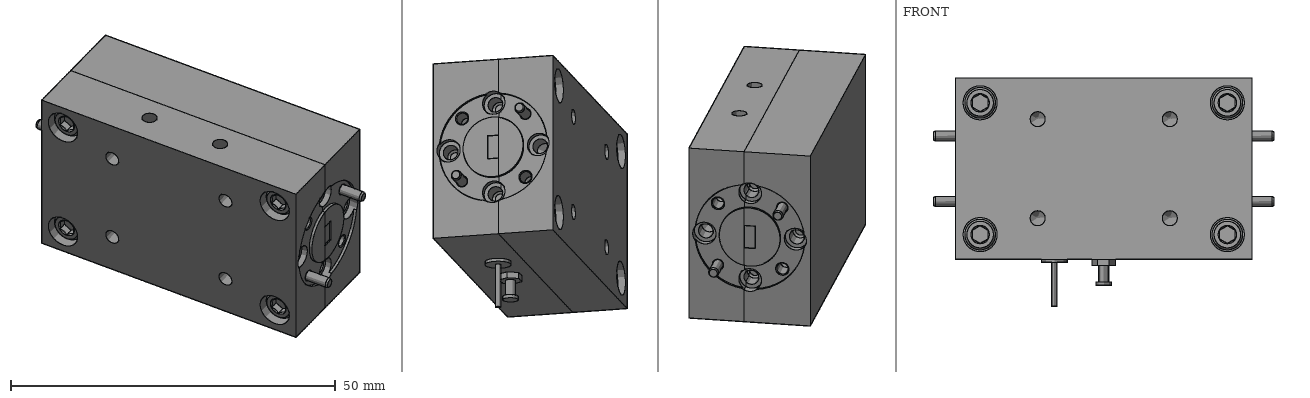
import cadquery as cq
import math


OVERALL_LENGTH = 52.45
BLOCK_LENGTH = 45.75
BLOCK_DEPTH = 19.05
BLOCK_HEIGHT = 27.95
FRONT_DEPTH = 8.65
END_X = BLOCK_LENGTH / 2
FRONT_Y = -BLOCK_DEPTH / 2
SEAM_Y = FRONT_Y + FRONT_DEPTH
TOP_Z = BLOCK_HEIGHT / 2

TAPPED_RADIUS = 1.15
TAPPED_DEPTH = 5.25
DRILL_POINT_ANGLE = 118

FACE_HOLE_INSET_X = 12.7
FACE_HOLE_INSET_Z = 6.35
TOP_HOLE_SPACING = 12.7
TOP_HOLE_INSET = 4.75

SCREW_INSET = 3.85
COUNTERBORE_RADIUS = 2.6
COUNTERBORE_DEPTH = 3.9
HEAD_RADIUS = 2.35
HEAD_HEIGHT = 2.85
HEAD_CHAMFER = 0.3
HEX_SOCKET_WIDTH = 2.35
HEX_SOCKET_DEPTH = 1.35
SOCKET_MOUTH_RADIUS = 1.4
SOCKET_MOUTH_DEPTH = 0.2

RING_OUTER_RADIUS = 8.6
RING_INNER_RADIUS = 4.75
RING_DEPTH = 0.45
GUIDE_WIDTH = 1.75
GUIDE_HEIGHT = 3.65
GUIDE_DEPTH = 0.2
BOLT_CIRCLE_RADIUS = 7.15
SPOTFACE_RADIUS = 1.8
SPOTFACE_DEPTH = 1.45
BOLT_HOLE_DEPTH = 4.2
BOLT_TIP_RADIUS = 0.8
DOWEL_HOLE_RADIUS = 0.9
DOWEL_HOLE_CHAMFER = 0.15
DOWEL_HOLE_DEPTH = 3.15
DOWEL_RADIUS = 0.8
DOWEL_LENGTH = (OVERALL_LENGTH - BLOCK_LENGTH) / 2
DOWEL_CHAMFER_LENGTH = 0.3
DOWEL_CHAMFER_WIDTH = 0.15
DOWEL_SEAT_CHAMFER = 0.1

TERMINAL_Y = 3.15
FEEDTHROUGH_X = -7.6
COLLAR_RADIUS = 2.0
COLLAR_THICKNESS = 0.45
LEAD_RADIUS = 0.4
LEAD_LENGTH = 7.25
NUT_CORNER_RADIUS = 1.85
NUT_THICKNESS = 0.95
NUT_TURN = -3
POST_RADIUS = 0.8
POST_LENGTH = 4.0
POST_CAP_RADIUS = 1.2
POST_CAP_THICKNESS = 0.5


def mirrored_places(x, y):
    return [(sx * x, sy * y) for sx in (-1, 1) for sy in (-1, 1)]


def rod(start, direction, radius, length):
    return cq.Workplane(cq.Solid.makeCylinder(radius, length, cq.Vector(*start), cq.Vector(*direction)))


def drilled_hole(start, direction, radius, depth, tip_radius=0):
    """Cylinder of the given depth plus a drill-point cone, cut flat at tip_radius."""
    origin = cq.Vector(*start)
    axis = cq.Vector(*direction)
    cone_length = (radius - tip_radius) / math.tan(math.radians(DRILL_POINT_ANGLE / 2))
    bore = cq.Solid.makeCylinder(radius, depth, origin, axis)
    point = cq.Solid.makeCone(radius, tip_radius, cone_length, origin + axis * depth, axis)
    return cq.Workplane(bore.fuse(point))


def mouth_chamfer(start, direction, hole_radius, chamfer):
    """45-degree cone that narrows from the mouth of a hole down to the hole radius."""
    origin = cq.Vector(*start)
    axis = cq.Vector(*direction)
    return cq.Workplane(cq.Solid.makeCone(hole_radius + chamfer, hole_radius, chamfer, origin, axis))


def block(y_start, depth):
    return (
        cq.Workplane("XY")
        .box(BLOCK_LENGTH, depth, BLOCK_HEIGHT, centered=(True, False, True))
        .translate((0, y_start, 0))
    )


def dowel_places(side):
    """The two diagonal places that hold dowels; -side gives the two open holes."""
    offset = BOLT_CIRCLE_RADIUS * math.sqrt(0.5)
    return [(-offset, -side * offset), (offset, side * offset)]


def flange_recess(side):
    """Material removed from the end face at X = side * END_X."""
    inward = (-side, 0, 0)
    centre = (side * END_X, 0, 0)
    recess = rod(centre, inward, RING_OUTER_RADIUS, RING_DEPTH)
    recess = recess.cut(rod(centre, inward, RING_INNER_RADIUS, RING_DEPTH))

    guide = cq.Workplane("XY").box(2 * GUIDE_DEPTH, GUIDE_WIDTH, GUIDE_HEIGHT)
    recess = recess.union(guide.translate((side * END_X, SEAM_Y + GUIDE_WIDTH / 2, 0)))

    for quarter in range(4):
        angle = math.radians(90 * quarter)
        place = (side * END_X, BOLT_CIRCLE_RADIUS * math.cos(angle), BOLT_CIRCLE_RADIUS * math.sin(angle))
        pointed = quarter == 2
        tip_radius = 0 if pointed else BOLT_TIP_RADIUS
        recess = recess.union(rod(place, inward, SPOTFACE_RADIUS, SPOTFACE_DEPTH))
        recess = recess.union(drilled_hole(place, inward, TAPPED_RADIUS, BOLT_HOLE_DEPTH, tip_radius))

    for y, z in dowel_places(-side):
        place = (side * (END_X - RING_DEPTH), y, z)
        recess = recess.union(drilled_hole(place, inward, DOWEL_HOLE_RADIUS, DOWEL_HOLE_DEPTH))
        recess = recess.union(mouth_chamfer(place, inward, DOWEL_HOLE_RADIUS, DOWEL_HOLE_CHAMFER))

    for y, z in dowel_places(side):
        place = (side * (END_X - RING_DEPTH), y, z)
        recess = recess.union(mouth_chamfer(place, inward, DOWEL_RADIUS, DOWEL_SEAT_CHAMFER))
    return recess


def dowel(side, y, z):
    """Chamfered locating dowel, rooted at the bottom of its seat in the flange ring."""
    outward = (side, 0, 0)
    root_depth = RING_DEPTH + DOWEL_SEAT_CHAMFER
    root = (side * (END_X - root_depth), y, z)
    shank_length = root_depth + DOWEL_LENGTH - DOWEL_CHAMFER_LENGTH
    shank = rod(root, outward, DOWEL_RADIUS, shank_length)
    tip_start = cq.Vector(side * (END_X + DOWEL_LENGTH - DOWEL_CHAMFER_LENGTH), y, z)
    tip = cq.Solid.makeCone(
        DOWEL_RADIUS, DOWEL_RADIUS - DOWEL_CHAMFER_WIDTH, DOWEL_CHAMFER_LENGTH, tip_start, cq.Vector(*outward)
    )
    return shank.union(cq.Workplane(tip))


def screw_head(x, z):
    """Socket head standing on the floor of its counterbore."""
    head = cq.Workplane("XY").circle(HEAD_RADIUS).extrude(HEAD_HEIGHT)
    head = head.faces(">Z").chamfer(HEAD_CHAMFER)
    socket_diameter = HEX_SOCKET_WIDTH / math.cos(math.radians(30))
    head = (
        head.faces(">Z")
        .workplane()
        .transformed(rotate=(0, 0, 90))
        .polygon(6, socket_diameter)
        .cutBlind(-HEX_SOCKET_DEPTH)
    )
    mouth_floor = cq.Vector(0, 0, HEAD_HEIGHT - SOCKET_MOUTH_DEPTH)
    mouth = cq.Solid.makeCone(HEX_SOCKET_WIDTH / 2, SOCKET_MOUTH_RADIUS, SOCKET_MOUTH_DEPTH, mouth_floor)
    head = head.cut(cq.Workplane(mouth))
    head = head.rotate((0, 0, 0), (1, 0, 0), 90)
    return head.translate((x, FRONT_Y + COUNTERBORE_DEPTH, z))


def feedthrough():
    base = (FEEDTHROUGH_X, TERMINAL_Y, -TOP_Z)
    collar = rod(base, (0, 0, -1), COLLAR_RADIUS, COLLAR_THICKNESS)
    return collar.union(rod(base, (0, 0, -1), LEAD_RADIUS, LEAD_LENGTH))


def ground_post():
    nut = cq.Workplane("XY").polygon(6, 2 * NUT_CORNER_RADIUS).extrude(-NUT_THICKNESS)
    nut = nut.rotate((0, 0, 0), (0, 0, 1), NUT_TURN)
    post = nut.union(rod((0, 0, 0), (0, 0, -1), POST_RADIUS, POST_LENGTH))
    cap_top = POST_CAP_THICKNESS - POST_LENGTH
    post = post.union(rod((0, 0, cap_top), (0, 0, -1), POST_CAP_RADIUS, POST_CAP_THICKNESS))
    return post.translate((0, TERMINAL_Y, -TOP_Z))


def make_front_block():
    body = block(FRONT_Y, FRONT_DEPTH)
    for side in (-1, 1):
        body = body.cut(flange_recess(side))
        front_dowel_place = dowel_places(side)[0]
        body = body.union(dowel(side, *front_dowel_place))

    for x, z in mirrored_places(END_X - SCREW_INSET, TOP_Z - SCREW_INSET):
        body = body.cut(rod((x, FRONT_Y, z), (0, 1, 0), COUNTERBORE_RADIUS, COUNTERBORE_DEPTH))
        body = body.union(screw_head(x, z))

    for x, z in mirrored_places(END_X - FACE_HOLE_INSET_X, TOP_Z - FACE_HOLE_INSET_Z):
        body = body.cut(drilled_hole((x, FRONT_Y, z), (0, 1, 0), TAPPED_RADIUS, TAPPED_DEPTH))

    for x in (-TOP_HOLE_SPACING / 2, TOP_HOLE_SPACING / 2):
        place = (x, FRONT_Y + TOP_HOLE_INSET, TOP_Z)
        body = body.cut(drilled_hole(place, (0, 0, -1), TAPPED_RADIUS, TAPPED_DEPTH))
    return body


def make_rear_block():
    body = block(SEAM_Y, BLOCK_DEPTH - FRONT_DEPTH)
    for side in (-1, 1):
        body = body.cut(flange_recess(side))
        rear_dowel_place = dowel_places(side)[1]
        body = body.union(dowel(side, *rear_dowel_place))
    return body.union(feedthrough()).union(ground_post())


front_block = make_front_block()
rear_block = make_rear_block()

result = cq.Compound.makeCompound([front_block.val(), rear_block.val()])